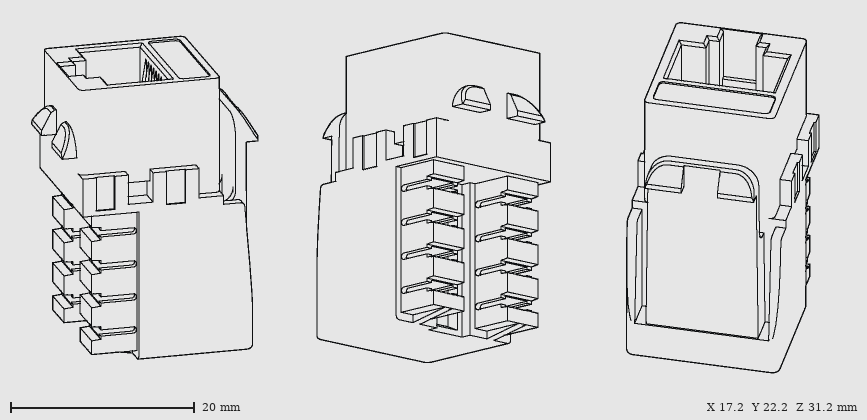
import cadquery as cq
import math


total_height = 31.2
body_width = 17.2
body_top = 17.07
body_front = 6.33
body_back = 19.45
body_corner_radius = 0.9
body_bottom_radius = 0.45

head_width = 14.6
head_depth = 15.95
head_corner_radius = 0.55
collar_top = 21.45
collar_ledge = 18.05
tab_spans = [(0, 5.15), (7.95, 13.17)]
tab_window_margin = 1.53
tab_window_floor = 17.63
tab_window_depth = 0.22
wall_recess_top = 20.1
wall_recess_x = 6.1

label_width = 13.05
label_front = 11.58
label_back = 15.13
label_corner_radius = 0.53
label_depth = 0.2

cavity_floor = 21.22
lip_chamfer = 0.35
cavity_half_width = 5.93
cavity_back = 10.58
cavity_shoulder = 3.7
keyway_half_width = 3.18
keyway_shoulder = 2.15
latch_slot_half_width = 2.03
latch_slot_front = 0.15
stop_top = 24.95
shoulder_stop_back = 4.7
latch_stop_back = 0.7

wire_count = 8
wire_row_width = 7.15
wire_pitch = wire_row_width / (wire_count - 1)
wire_diameter = 0.6
wire_top = 30.25
wire_end_y = 9.4
wire_embed = 0.15

catch_half_gap = 2.03
catch_bottom = 23.1
catch_lip_top = 23.68
catch_top = 25.9
catch_reach = 1.65
catch_top_reach = 0.47
catch_radius = 3.15
catch_flat_half_width = 3.05
catch_chamfer = 0.28

latch_half_width = 6.05
latch_root_half_width = 6.27
latch_inner = 18.0
latch_outer = 19.22
barb_top = 26.0
barb_tip = 20.55
barb_top_y = 19.22
barb_radius = 2.37
barb_flat_half_width = 3.62
slot_half_width = 7.5
slot_floor = 4.37
rib_top = 16.07
rib_flat_back = 16.8
rib_arc_top = 17.7
rib_arc_radius = 1.7
side_rib_inner = 5.05
middle_rib_half_width = 0.65
ear_top_back = 18.28
ear_top_radius = 0.47

comb_center_x = 5.55
comb_width = 4.6
comb_front = 1.22
comb_bottom = 0.87
gusset_width = 1.1
wire_slot_count = 4
wire_slot_pitch = 3.8
wire_slot_first_z = 3.28
wire_slot_width = 0.72
wire_slot_end = 6.27
mouth_depth = 1.03
mouth_inner_height = 1.45
mouth_outer_height = 1.62
blade_pocket_width = 3.18
blade_pocket_height = 1.2
blade_pocket_end = 8.1

channel_half_width = 2.5
channel_depth = 1.25
pocket_width = 3.53
pocket_bottom = 0.65
pocket_top = 16.35
pocket_depth = 0.95
pocket_side_inset = 0.47


def box(x_span, y_span, z_span):
    """Box between two limits on each axis."""
    spans = (x_span, y_span, z_span)
    sizes = [high - low for low, high in spans]
    corner = [low for low, high in spans]
    return cq.Workplane("XY").box(*sizes, centered=False).translate(tuple(corner))


def side_profile(points, x_span):
    """Extrude a (Y, Z) outline along X."""
    low, high = x_span
    return cq.Workplane("YZ").polyline(points).close().extrude(high - low).translate((low, 0, 0))


def both_sides(solid):
    """The solid together with its mirror image across X = 0."""
    return solid.union(solid.mirror("YZ"))


def make_body():
    half = body_width / 2
    body = box((-half, half), (body_front, body_back), (0, body_top))
    body = body.edges("|Z and >Y").fillet(body_corner_radius)
    body = body.faces("<Z").edges("not <Y").fillet(body_bottom_radius)
    taper = side_profile(
        [(body_back, slot_floor), (body_back, body_top), (ear_top_back, body_top)],
        (-half, half),
    )
    body = body.cut(taper)
    return body.faces(">Z").edges(">Y").fillet(ear_top_radius)


def cut_latch_space(body):
    slots = box((-slot_half_width, slot_half_width), (head_depth, body_back), (slot_floor, body_top))
    return body.cut(slots)


def make_latch_outline():
    """Latch as seen from the back: sides leaning in to the barb, then round upper corners."""
    return (
        cq.Workplane("XZ", origin=(0, barb_tip, 0))
        .moveTo(-latch_root_half_width, slot_floor)
        .lineTo(-latch_half_width, catch_lip_top)
        .radiusArc((-barb_flat_half_width, barb_top), barb_radius)
        .lineTo(barb_flat_half_width, barb_top)
        .radiusArc((latch_half_width, catch_lip_top), barb_radius)
        .lineTo(latch_root_half_width, slot_floor)
        .close()
        .extrude(barb_tip - head_depth)
    )


def chamfer_slope(solid, rise, run):
    """Bevel the rounded and upper edges of the sloping snap face of a catch or barb."""
    slope = cq.selectors.ParallelDirSelector(cq.Vector(0, rise, run))
    return solid.faces(slope).edges("%ELLIPSE or >Z").chamfer(catch_chamfer)


def make_latch():
    """Springy plate tied to the housing by three ribs, with a divided barb at its tip."""
    barb_profile = side_profile(
        [(latch_inner, catch_bottom), (barb_tip, catch_bottom), (barb_tip, catch_lip_top),
         (barb_top_y, barb_top), (latch_inner, barb_top)],
        (-latch_root_half_width, latch_root_half_width),
    )
    barb = barb_profile.intersect(make_latch_outline())
    barb = chamfer_slope(barb, barb_top - catch_lip_top, barb_tip - barb_top_y)
    barb = barb.cut(
        box((-catch_half_gap, catch_half_gap), (latch_outer, barb_tip), (catch_bottom, barb_top))
    )
    plate = (
        cq.Workplane("YZ")
        .moveTo(head_depth, slot_floor)
        .lineTo(latch_outer, slot_floor)
        .lineTo(latch_outer, catch_bottom)
        .lineTo(latch_inner, catch_bottom)
        .lineTo(latch_inner, rib_arc_top)
        .radiusArc((rib_flat_back, rib_top), rib_arc_radius)
        .lineTo(head_depth, rib_top)
        .close()
        .extrude(latch_root_half_width, both=True)
        .intersect(make_latch_outline())
    )
    gap = box(
        (middle_rib_half_width, side_rib_inner), (head_depth, latch_inner), (slot_floor, rib_arc_top)
    )
    return plate.cut(both_sides(gap)).union(barb)


def make_catch():
    wedge = side_profile(
        [(0, catch_bottom), (-catch_reach, catch_bottom), (-catch_reach, catch_lip_top),
         (-catch_top_reach, catch_top), (0, catch_top)],
        (catch_half_gap, catch_flat_half_width + catch_radius),
    )
    center_z = catch_top - catch_radius
    round_end = (
        cq.Workplane("XZ")
        .center(catch_flat_half_width, center_z).circle(catch_radius).extrude(catch_reach)
    )
    flat = box((catch_half_gap, catch_flat_half_width), (-catch_reach, 0), (catch_bottom, catch_top))
    catch = wedge.intersect(round_end.union(flat))
    return chamfer_slope(catch, catch_lip_top - catch_top, catch_reach - catch_top_reach)


def make_head():
    half = head_width / 2
    head = box((-half, half), (0, head_depth), (body_top, total_height))
    return head.edges("|Z").fillet(head_corner_radius)


def make_collar():
    half = body_width / 2
    inner = head_width / 2 - head_corner_radius
    collar = box((-half, half), (0, head_depth), (body_top, collar_ledge))
    for front, back in tab_spans:
        tab = box((inner, half), (front, back), (collar_ledge, collar_top))
        window = box(
            (half - tab_window_depth, half),
            (front + tab_window_margin, back - tab_window_margin),
            (tab_window_floor, collar_top),
        )
        collar = collar.union(both_sides(tab)).cut(both_sides(window))
    return collar


def make_wall_recess():
    front, back = tab_spans[0][1], tab_spans[1][0]
    return both_sides(
        box((wall_recess_x, body_width / 2), (front, back), (collar_ledge, wall_recess_top))
    )


def cavity_outline(z, grow):
    """Stepped plug opening at height z, widened by grow on every side but the front."""
    right = [
        (latch_slot_half_width + grow, latch_slot_front),
        (latch_slot_half_width + grow, keyway_shoulder - grow),
        (keyway_half_width + grow, keyway_shoulder - grow),
        (keyway_half_width + grow, cavity_shoulder - grow),
        (cavity_half_width + grow, cavity_shoulder - grow),
        (cavity_half_width + grow, cavity_back + grow),
    ]
    left = [(-x, y) for x, y in reversed(right)]
    return cq.Workplane("XY", origin=(0, 0, z)).polyline(right + left).close()


def make_cavity():
    cavity = cavity_outline(cavity_floor, 0).extrude(total_height - cavity_floor)
    lip_base = cavity_outline(total_height - lip_chamfer, 0).wires().val()
    lip_rim = cavity_outline(total_height, lip_chamfer).wires().val()
    cavity = cavity.union(cq.Workplane(cq.Solid.makeLoft([lip_base, lip_rim], True)))
    shoulder_stop = box(
        (keyway_half_width, cavity_half_width),
        (cavity_shoulder, shoulder_stop_back), (cavity_floor, stop_top),
    )
    latch_stop = box(
        (-latch_slot_half_width, latch_slot_half_width),
        (latch_slot_front, latch_stop_back), (cavity_floor, stop_top),
    )
    return cavity.cut(both_sides(shoulder_stop)).cut(latch_stop)


def make_wires():
    """Row of round spring contacts leaning out of the back wall of the cavity."""
    radius = wire_diameter / 2
    start = cq.Vector(0, cavity_back + radius, wire_top)
    end = cq.Vector(0, wire_end_y, cavity_floor - wire_embed)
    axis = end - start
    wire = cq.Workplane(cq.Solid.makeCylinder(radius, axis.Length, start, axis))
    row = cq.Workplane("XY")
    for index in range(wire_count):
        x = index * wire_pitch - wire_row_width / 2
        row = row.add(wire.translate((x, 0, 0)))
    return row.combine()


def make_label_recess():
    recess = box(
        (-label_width / 2, label_width / 2),
        (label_front, label_back), (total_height - label_depth, total_height),
    )
    return recess.edges("|Z").fillet(label_corner_radius)


def comb_span(width):
    """X limits of a feature centered on the right-hand comb."""
    return (comb_center_x - width / 2, comb_center_x + width / 2)


def make_comb():
    """One toothed block with its stiffening gusset underneath."""
    x_span = comb_span(comb_width)
    comb = box(x_span, (comb_front, body_front), (comb_bottom, body_top))
    gusset = side_profile(
        [(comb_front, comb_bottom), (body_front, 0), (body_front, comb_bottom)],
        comb_span(gusset_width),
    )
    return comb.union(gusset)


def make_wire_slot(z):
    """Slot between two teeth: rounded inner end, flared mouth and a pocket for the blade."""
    x_span = comb_span(comb_width)
    half = wire_slot_width / 2
    slot = (
        cq.Workplane("YZ", origin=(x_span[0], 0, 0))
        .moveTo(comb_front, z - half)
        .lineTo(wire_slot_end - half, z - half)
        .threePointArc((wire_slot_end, z), (wire_slot_end - half, z + half))
        .lineTo(comb_front, z + half)
        .close()
        .extrude(comb_width)
    )
    mouth_end = comb_front + mouth_depth
    mouth = side_profile(
        [(comb_front, z - mouth_outer_height / 2), (mouth_end, z - mouth_inner_height / 2),
         (mouth_end, z + mouth_inner_height / 2), (comb_front, z + mouth_outer_height / 2)],
        x_span,
    )
    blade_pocket = box(
        comb_span(blade_pocket_width),
        (comb_front, blade_pocket_end),
        (z - blade_pocket_height / 2, z + blade_pocket_height / 2),
    )
    return slot.union(mouth).union(blade_pocket)


def make_channel():
    floor_y = body_front + channel_depth
    channel = box((-channel_half_width, channel_half_width), (body_front, floor_y), (0, body_top))
    pocket = (
        cq.Workplane("XZ", origin=(0, floor_y, 0))
        .center(0, (pocket_bottom + pocket_top) / 2)
        .rect(pocket_width, pocket_top - pocket_bottom)
        .extrude(-pocket_depth, taper=math.degrees(math.atan2(pocket_side_inset, pocket_depth)))
    )
    return channel.union(pocket)


result = cut_latch_space(make_body())
result = result.cut(make_channel())
result = result.union(make_head()).union(make_collar())
result = result.union(make_latch()).union(both_sides(make_catch()))
result = result.union(both_sides(make_comb()))
for slot_index in range(wire_slot_count):
    slot_z = wire_slot_first_z + slot_index * wire_slot_pitch
    result = result.cut(both_sides(make_wire_slot(slot_z)))
result = result.cut(make_wall_recess()).cut(make_label_recess())
result = result.cut(make_cavity()).union(make_wires())